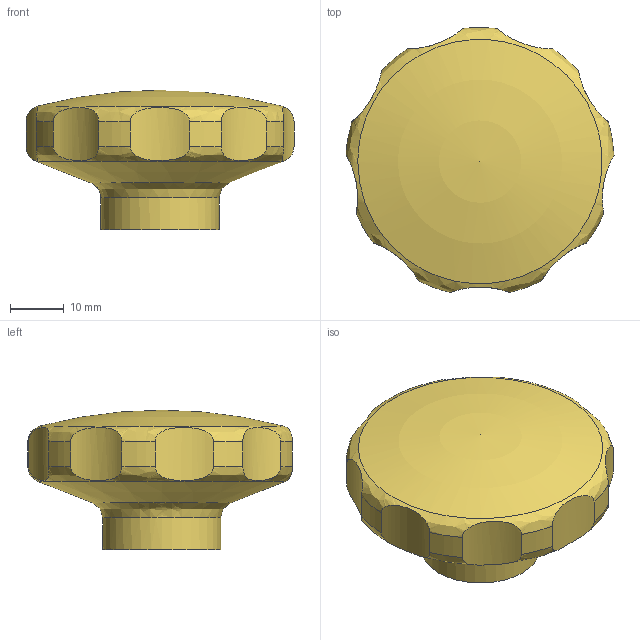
import cadquery as cq
import math

total_height = 26.0
rim_radius = 25.0
hub_radius = 11.0

hub_top = 8.0
rim_bottom = 13.5
rim_top = 22.4

edge_radius = 3.0

scallop_count = 9
scallop_radius = 16.0
scallop_floor = 23.4
first_scallop_angle = -90.0


def make_body():
    """Knob of revolution: hub, flared underside, rim and domed top."""
    dome_rise = total_height - rim_top
    dome_radius = (rim_radius**2 + dome_rise**2) / (2 * dome_rise)
    mid_radius = rim_radius / 2
    mid_drop = dome_radius - math.sqrt(dome_radius**2 - mid_radius**2)

    profile = (
        cq.Workplane("XZ")
        .moveTo(0, 0)
        .lineTo(-hub_radius, 0)
        .lineTo(-hub_radius, hub_top)
        .lineTo(-rim_radius, rim_bottom)
        .lineTo(-rim_radius, rim_top)
        .threePointArc((-mid_radius, total_height - mid_drop), (0, total_height))
        .close()
    )
    return profile.revolve(360, (0, 0, 0), (0, 1, 0))


def round_edges(body):
    """Round both rim edges and the inside corner at the top of the hub."""
    for height in (hub_top, rim_bottom, rim_top):
        circle_center = cq.selectors.NearestToPointSelector((0, 0, height))
        body = body.edges("%CIRCLE").edges(circle_center).fillet(edge_radius)
    return body


def cut_scallops(body):
    """Cut equally spaced finger scallops with upright cylinders."""
    cutters = (
        cq.Workplane("XY")
        .polarArray(scallop_floor + scallop_radius, first_scallop_angle, 360, scallop_count)
        .circle(scallop_radius)
        .extrude(total_height)
    )
    return body.cut(cutters)


result = cut_scallops(round_edges(make_body()))